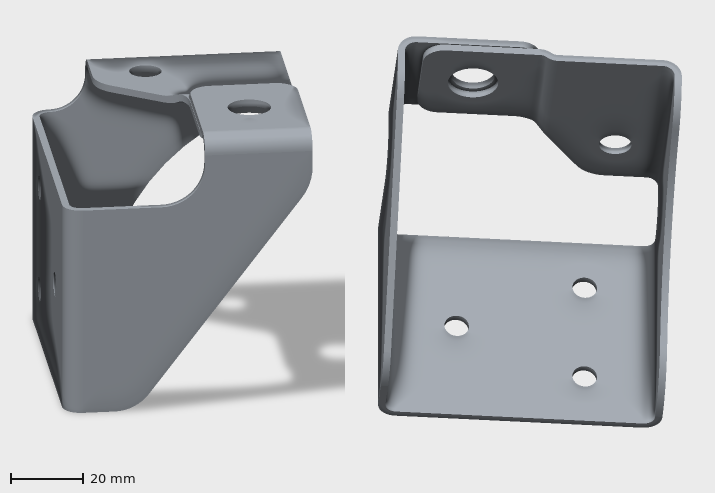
import cadquery as cq
import math


sheet = 2.0
inner_bend = 3.2
outer_bend = inner_bend + sheet
depth = 69.3
width = 79.0
height = 80.0
web_height = 60.0
turn_angle = 32.0

near_flange_length = 30.0
near_flange_reach = 40.0
near_flange_start = depth - near_flange_length
near_window_radius = 12.0
near_foot = 20.0
near_slope_top = 65.0
near_foot_radius = 12.0
near_slope_radius = 15.0

far_top = 76.0
far_flange_length = 54.0
far_flange_start = depth - far_flange_length
far_window_radius = 10.0
far_foot = 20.0
far_sweep_radius = 62.3
far_foot_radius = 16.0
far_crown_radius = 13.0

plate_gap = 0.3
joggle_start = 34.5
tongue_tip = 7.5
tongue_top = height - sheet - plate_gap
joggle_inner_bend = 3.0
joggle_outer_bend = joggle_inner_bend + sheet
joggle_pitch = joggle_inner_bend + joggle_outer_bend
joggle_angle = math.acos(1 - (tongue_top - far_top) / joggle_pitch)

flange_corner_radius = 6.0
taper_angle = 35.0
taper_radius = 10.0

near_hole_diameter = 12.0
near_hole_clearance_diameter = 14.0
near_hole_inset = near_flange_length / 2
near_hole_y = 22.2
far_hole_diameter = 9.0
far_hole_inset = 39.0
far_hole_offset = 15.2
web_hole_diameter = 6.8
web_hole_low_y = 22.1
web_hole_high_y = 57.7
web_hole_spacing = 15.0


def polar(center, radius, angle):
    """Point at an angle (radians) on a circle."""
    return (center[0] + radius * math.cos(angle), center[1] + radius * math.sin(angle))


def make_web():
    """Web with the two vertical bends."""
    outer = (
        cq.Workplane("XY")
        .box(2 * outer_bend, width, web_height, centered=False)
        .edges("|Z and <X")
        .fillet(outer_bend)
    )
    inner = (
        cq.Workplane("XY")
        .box(2 * outer_bend, width - 2 * sheet, web_height, centered=False)
        .translate((sheet, sheet, 0))
        .edges("|Z and <X")
        .fillet(inner_bend)
    )
    legs = cq.Workplane("XY").box(outer_bend, width, web_height, centered=False)
    return outer.cut(inner).intersect(legs)


def wall_top_edge(flange_start, window_radius, top):
    """Start of a wall outline: web bend, window arc, up to the flange bend and the free edge."""
    window_x = flange_start - window_radius
    window_z = web_height + window_radius
    arc_middle = polar((window_x, window_z), window_radius, math.radians(-45))
    return (
        cq.Workplane("XZ")
        .moveTo(outer_bend, 0)
        .lineTo(outer_bend, web_height)
        .lineTo(window_x, web_height)
        .threePointArc(arc_middle, (flange_start, window_z))
        .lineTo(flange_start, top - outer_bend)
        .lineTo(depth, top - outer_bend)
    )


def make_near_wall():
    """Side wall with a straight sloping free edge."""
    wall = (
        wall_top_edge(near_flange_start, near_window_radius, height)
        .lineTo(depth, near_slope_top)
        .lineTo(near_foot, 0)
        .close()
        .extrude(-sheet)
    )
    foot_corner = (near_foot, sheet / 2, 0)
    wall = wall.edges(cq.selectors.NearestToPointSelector(foot_corner)).fillet(near_foot_radius)
    slope_corner = (depth, sheet / 2, near_slope_top)
    return wall.edges(cq.selectors.NearestToPointSelector(slope_corner)).fillet(near_slope_radius)


def make_far_wall():
    """Side wall whose free edge is a concave sweep blended into the bottom and the upright edge."""
    sweep_center = (far_foot + far_sweep_radius, 0)
    foot_distance = far_sweep_radius + far_foot_radius
    crown_distance = far_sweep_radius + far_crown_radius
    foot_z = far_foot_radius
    foot_x = sweep_center[0] - math.sqrt(foot_distance**2 - foot_z**2)
    crown_x = depth - far_crown_radius
    crown_z = math.sqrt(crown_distance**2 - (sweep_center[0] - crown_x) ** 2)
    foot_angle = math.atan2(-foot_z, sweep_center[0] - foot_x)
    crown_angle = math.atan2(-crown_z, sweep_center[0] - crown_x)
    sweep_angle = math.pi + (foot_angle + crown_angle) / 2

    foot = (foot_x, foot_z)
    crown = (crown_x, crown_z)
    wall = (
        wall_top_edge(far_flange_start, far_window_radius, far_top)
        .lineTo(depth, crown_z)
        .threePointArc(
            polar(crown, far_crown_radius, crown_angle / 2),
            polar(crown, far_crown_radius, crown_angle),
        )
        .threePointArc(
            polar(sweep_center, far_sweep_radius, sweep_angle),
            polar(foot, far_foot_radius, foot_angle),
        )
        .threePointArc(
            polar(foot, far_foot_radius, (foot_angle - math.pi / 2) / 2),
            (foot_x, 0),
        )
        .close()
        .extrude(-sheet)
    )
    return wall.translate((0, width - sheet, 0))


def make_near_flange():
    """Bend and flat flange at full height."""
    center = (outer_bend, height - outer_bend)
    bend_middle = math.radians(135)
    flange = (
        cq.Workplane("YZ", origin=(near_flange_start, 0, 0))
        .moveTo(0, center[1])
        .threePointArc(polar(center, outer_bend, bend_middle), (outer_bend, height))
        .lineTo(near_flange_reach, height)
        .lineTo(near_flange_reach, height - sheet)
        .lineTo(outer_bend, height - sheet)
        .threePointArc(polar(center, inner_bend, bend_middle), (sheet, center[1]))
        .close()
        .extrude(near_flange_length)
    )
    return flange.edges("|Z and >Y").fillet(flange_corner_radius)


def make_far_flange_section():
    """Bend, flat, joggle and tongue as one strip, before trimming to its plan outline."""
    bend_center = (width - outer_bend, far_top - outer_bend)
    bend_middle = math.radians(45)
    up = math.pi / 2
    down = -math.pi / 2
    low_center = (width - joggle_start, far_top + joggle_inner_bend)
    high_center = polar(low_center, joggle_pitch, down - joggle_angle)
    return (
        cq.Workplane("YZ", origin=(far_flange_start, 0, 0))
        .moveTo(width, bend_center[1])
        .threePointArc(polar(bend_center, outer_bend, bend_middle), (bend_center[0], far_top))
        .lineTo(low_center[0], far_top)
        .threePointArc(
            polar(low_center, joggle_inner_bend, down - joggle_angle / 2),
            polar(low_center, joggle_inner_bend, down - joggle_angle),
        )
        .threePointArc(
            polar(high_center, joggle_outer_bend, up - joggle_angle / 2),
            (high_center[0], tongue_top),
        )
        .lineTo(tongue_tip, tongue_top)
        .lineTo(tongue_tip, tongue_top - sheet)
        .lineTo(high_center[0], tongue_top - sheet)
        .threePointArc(
            polar(high_center, joggle_inner_bend, up - joggle_angle / 2),
            polar(high_center, joggle_inner_bend, up - joggle_angle),
        )
        .threePointArc(
            polar(low_center, joggle_outer_bend, down - joggle_angle / 2),
            (low_center[0], far_top - sheet),
        )
        .lineTo(bend_center[0], far_top - sheet)
        .threePointArc(
            polar(bend_center, inner_bend, bend_middle),
            (width - sheet, bend_center[1]),
        )
        .close()
        .extrude(far_flange_length)
    )


def make_far_flange():
    """Joggled flange trimmed to a tapered outline with rounded corners."""
    taper_run = near_flange_start - far_flange_start
    taper_near_y = near_flange_reach
    taper_far_y = taper_near_y + taper_run * math.tan(math.radians(taper_angle))
    outline = (
        cq.Workplane("XY")
        .moveTo(depth, width)
        .lineTo(far_flange_start, width)
        .lineTo(far_flange_start, taper_far_y)
        .lineTo(near_flange_start, taper_near_y)
        .lineTo(near_flange_start, tongue_tip)
        .lineTo(depth, tongue_tip)
        .close()
        .extrude(height)
    )
    for x, y in ((far_flange_start, taper_far_y), (near_flange_start, taper_near_y)):
        corner = cq.selectors.NearestToPointSelector((x, y, height / 2))
        outline = outline.edges(corner).fillet(taper_radius)
    outline = outline.edges("|Z and <Y").fillet(flange_corner_radius)
    return make_far_flange_section().intersect(outline)


def drill_flange(flange, x, y, diameter):
    """Vertical hole through a single flange."""
    tool = cq.Workplane("XY", origin=(x, y, 0)).circle(diameter / 2).extrude(height)
    return flange.cut(tool)


def drill_web(web):
    """Three holes through the web in a triangle."""
    middle_z = web_height / 2
    holes = (
        cq.Workplane("YZ")
        .pushPoints([
            (web_hole_low_y, middle_z),
            (web_hole_high_y, middle_z - web_hole_spacing),
            (web_hole_high_y, middle_z + web_hole_spacing),
        ])
        .circle(web_hole_diameter / 2)
        .extrude(sheet)
    )
    return web.cut(holes)


near_hole_x = depth - near_hole_inset
near_flange = drill_flange(make_near_flange(), near_hole_x, near_hole_y, near_hole_diameter)

far_flange = make_far_flange()
far_flange = drill_flange(far_flange, near_hole_x, near_hole_y, near_hole_clearance_diameter)
far_flange = drill_flange(far_flange, depth - far_hole_inset, width - far_hole_offset, far_hole_diameter)

bracket = (
    drill_web(make_web())
    .union(make_near_wall())
    .union(make_far_wall())
    .union(near_flange)
    .union(far_flange)
)

result = bracket.rotate((0, 0, 0), (0, 0, 1), turn_angle)